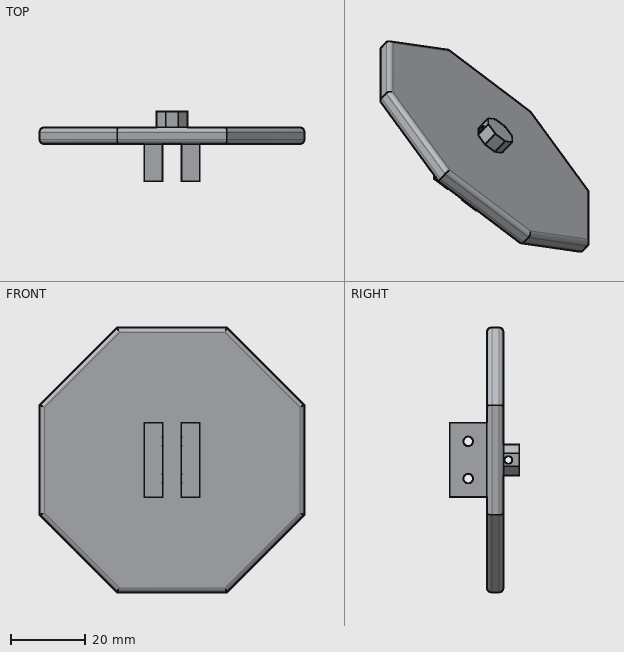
import cadquery as cq
import math

plate_width = 71.2
plate_thickness = 4.5
plate_edge_radius = 1.3

octagon_sides = 8
half_sector_degrees = 180 / octagon_sides

lug_length = 10.05
lug_thickness = 5.0
lug_height = 20.0
lug_gap = 5.0
lug_hole_diameter = 2.5
lug_hole_spacing = lug_height / 2

boss_width = 8.4
boss_length = 4.3
boss_hole_diameter = 2.0
boss_hole_from_end = 3.0


def octagonal_prism(flat_width, y_start, thickness):
    """Octagon with flats facing X and Z, extruded toward +Y."""
    corner_diameter = flat_width / math.cos(math.radians(half_sector_degrees))
    return (
        cq.Workplane("XZ", origin=(0, y_start, 0))
        .transformed(rotate=(0, 0, half_sector_degrees))
        .polygon(octagon_sides, corner_diameter)
        .extrude(-thickness)
    )


def hole_along_x(diameter, y, z, length):
    """Cylinder along X, centred on X = 0."""
    return cq.Workplane("YZ").center(y, z).circle(diameter / 2).extrude(length / 2, both=True)


plate = octagonal_prism(plate_width, 0, plate_thickness)
plate = plate.faces("<Y or >Y").edges().fillet(plate_edge_radius)

boss = octagonal_prism(boss_width, plate_thickness, boss_length)
boss_hole_y = plate_thickness + boss_length - boss_hole_from_end
boss = boss.cut(hole_along_x(boss_hole_diameter, boss_hole_y, 0, 2 * boss_width))

result = plate.union(boss)

lug_offset = (lug_gap + lug_thickness) / 2
for side in (-1, 1):
    lug = cq.Workplane("XY").box(lug_thickness, lug_length, lug_height)
    result = result.union(lug.translate((side * lug_offset, -lug_length / 2, 0)))

lug_span = lug_gap + 2 * lug_thickness
for side in (-1, 1):
    hole_z = side * lug_hole_spacing / 2
    result = result.cut(hole_along_x(lug_hole_diameter, -lug_length / 2, hole_z, 2 * lug_span))